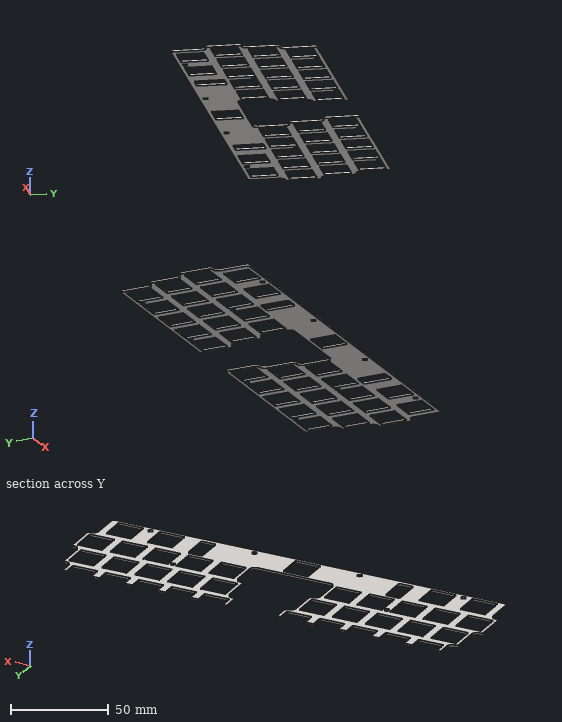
import cadquery as cq
import math

UNIT = 19.0
THICKNESS = 1.4
ROWS = 4
KEYS_PER_SIDE = 5
CONVEX_RADIUS = 1.7
CONCAVE_RADIUS = 2.9

SWITCH_SIZE = 14.0
WIDE_KEY = 1.25 * UNIT
WIDE_KEYS_PER_SIDE = 2

STABILIZER_X = 3 * UNIT
STABILIZER_WIDTH = 8.0
STABILIZER_LENGTH = 15.7
STABILIZER_SHIFT = 1.5
STABILIZER_RADIUS = 1.0

HOLE_DIAMETER = 2.5
HOLE_EDGE_GAP = 3.5
SPACE_BAR_HOLE_X = 30.5

POSITION_TOLERANCE = 0.002

ROW_STAGGER = UNIT / 4
TOP_ROW_INNER_X = 14.3

TOP_Y = ROWS * UNIT / 2
BOTTOM_Y = -TOP_Y


def row_top(row):
    """Y of a row's upper boundary, with row 0 at the back."""
    return TOP_Y - row * UNIT


def row_center(row):
    return row_top(row) - UNIT / 2


def inner_x(row):
    """Distance from X = 0 to the inner end of an upper row."""
    return TOP_ROW_INNER_X + row * ROW_STAGGER


def outer_x(row):
    return inner_x(row) + KEYS_PER_SIDE * UNIT


UPPER_ROWS = range(ROWS - 1)
BOTTOM_ROW = ROWS - 1
BOTTOM_ROW_OUTER_X = outer_x(1)


def mirrored(points):
    """The points together with their mirror images about X = 0."""
    return [(side * x, y) for x, y in points for side in (-1, 1)]


def inside_corners():
    """Concave corners of the outline, where neighbouring rows step inward."""
    right = [
        (inner_x(1), row_top(1)),
        (inner_x(2), row_top(2)),
        (inner_x(2), row_top(BOTTOM_ROW)),
        (outer_x(0), row_top(1)),
        (outer_x(1), row_top(2)),
        (BOTTOM_ROW_OUTER_X, row_top(BOTTOM_ROW)),
    ]
    return mirrored(right)


def round_corners(body, corners, radius):
    """Fillet the upright edges standing at the given outline corners."""

    def is_at_corner(edge):
        center = edge.Center()
        return any(math.dist((center.x, center.y), corner) < POSITION_TOLERANCE for corner in corners)

    return body.edges("|Z").filter(is_at_corner).fillet(radius)


def plate():
    """Stepped outline: staggered upper rows joined by one full-width bottom row."""
    right = []
    for row in reversed(UPPER_ROWS):
        right += [(inner_x(row), row_top(row + 1)), (inner_x(row), row_top(row))]
    for row in UPPER_ROWS:
        right += [(outer_x(row), row_top(row)), (outer_x(row), row_top(row + 1))]
    right += [(BOTTOM_ROW_OUTER_X, row_top(BOTTOM_ROW)), (BOTTOM_ROW_OUTER_X, BOTTOM_Y)]
    left = [(-x, y) for x, y in reversed(right)]
    body = cq.Workplane("XY").polyline(right + left).close().extrude(THICKNESS)

    concave = inside_corners()
    convex = set(right + left) - set(concave)
    body = round_corners(body, concave, CONCAVE_RADIUS)
    return round_corners(body, convex, CONVEX_RADIUS)


def switch_centers():
    right = []
    for row in UPPER_ROWS:
        for key in range(KEYS_PER_SIDE):
            right.append((inner_x(row) + (key + 0.5) * UNIT, row_center(row)))
    for key in range(WIDE_KEYS_PER_SIDE):
        right.append((BOTTOM_ROW_OUTER_X - (key + 0.5) * WIDE_KEY, row_center(BOTTOM_ROW)))
    space_bar = (0, row_center(BOTTOM_ROW))
    return mirrored(right) + [space_bar]


def hole_centers():
    corner_x = outer_x(0) - UNIT
    top_y = TOP_Y - HOLE_EDGE_GAP
    bottom_y = BOTTOM_Y + HOLE_EDGE_GAP
    return mirrored(
        [
            (corner_x, top_y),
            (inner_x(0) + UNIT, top_y),
            (inner_x(2) + 2 * UNIT, row_top(2) - HOLE_EDGE_GAP),
            (corner_x, bottom_y),
            (SPACE_BAR_HOLE_X, bottom_y),
        ]
    )


def switch_cutouts():
    return cq.Workplane("XY").pushPoints(switch_centers()).rect(SWITCH_SIZE, SWITCH_SIZE).extrude(THICKNESS)


def stabilizer_slots():
    centers = mirrored([(STABILIZER_X, row_center(BOTTOM_ROW) + STABILIZER_SHIFT)])
    slots = cq.Workplane("XY").pushPoints(centers).rect(STABILIZER_WIDTH, STABILIZER_LENGTH).extrude(THICKNESS)
    return slots.edges("|Z").fillet(STABILIZER_RADIUS)


def screw_holes():
    return cq.Workplane("XY").pushPoints(hole_centers()).circle(HOLE_DIAMETER / 2).extrude(THICKNESS)


result = plate().cut(switch_cutouts()).cut(stabilizer_slots()).cut(screw_holes())